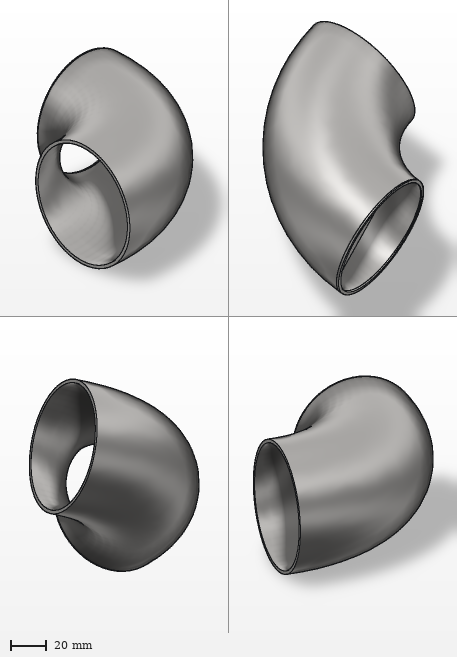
import cadquery as cq

outer_diameter = 76.3
inner_diameter = 72.3
bend_radius = 74.9
bend_angle = 90.0

wedge_tilt = 0.75
first_wedge_length = 0.55
second_wedge_length = 1.0
blank_length = 5.8
cutter_size = 2 * outer_diameter


def pipe_profile(plane):
    return cq.Workplane(plane).circle(outer_diameter / 2).circle(inner_diameter / 2)


def wedge_ring(start_plane, end_plane):
    """Straight pipe from the start plane, mitred off at the end plane."""
    blank = pipe_profile(start_plane).extrude(blank_length)
    cutter = cq.Workplane(end_plane).rect(cutter_size, cutter_size).extrude(2 * blank_length)
    return blank.cut(cutter)


def next_end_plane(start_plane, length):
    """Plane one wedge further along the pipe, tilted about the vertical axis."""
    centre = start_plane.toWorldCoords((0, 0, length))
    moved = cq.Plane(origin=centre, xDir=start_plane.xDir, normal=start_plane.zDir)
    return moved.rotated((0, -wedge_tilt, 0))


bend = (
    cq.Workplane("XZ")
    .center(bend_radius, 0)
    .circle(outer_diameter / 2)
    .circle(inner_diameter / 2)
    .revolve(bend_angle, (-bend_radius, 0), (-bend_radius, 1))
)

bend_end = cq.Plane(origin=(0, bend_radius, 0), xDir=(0, 1, 0), normal=(-1, 0, 0))
middle_plane = next_end_plane(bend_end, first_wedge_length)
end_plane = next_end_plane(middle_plane, second_wedge_length)

result = (
    bend
    .union(wedge_ring(bend_end, middle_plane))
    .union(wedge_ring(middle_plane, end_plane))
)